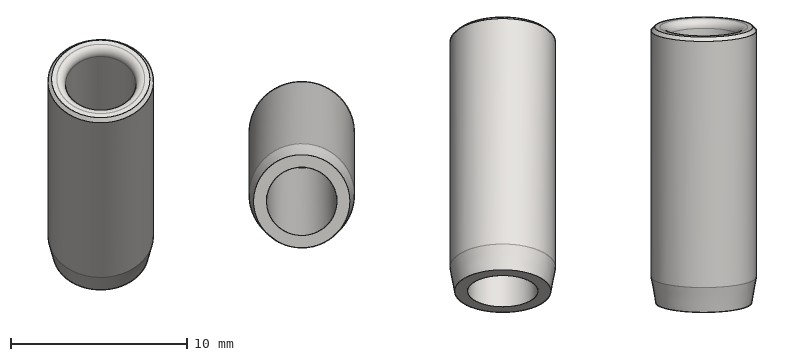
import cadquery as cq
import math

length = 16.0
outer_diameter = 6.0
outer_radius = outer_diameter / 2
bore_radius = 2.0

mouth_rounding = 0.5
rim_chamfer = 0.2

taper_height = 1.5
taper_angle = 10.0
tip_radius = outer_radius - taper_height * math.tan(math.radians(taper_angle))

wall_section = (
    cq.Workplane("XZ")
    .moveTo(bore_radius, 0)
    .lineTo(tip_radius, 0)
    .lineTo(outer_radius, taper_height)
    .lineTo(outer_radius, length - rim_chamfer)
    .lineTo(outer_radius - rim_chamfer, length)
    .lineTo(bore_radius + mouth_rounding, length)
    .radiusArc((bore_radius, length - mouth_rounding), -mouth_rounding)
    .close()
)

result = wall_section.revolve(360, (0, 0, 0), (0, 1, 0))